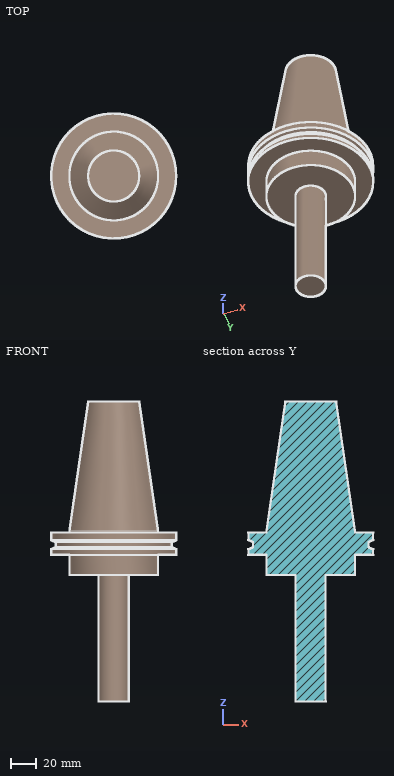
import cadquery as cq

total_length = 236.1
shank_diameter = 24.0

gauge_diameter = 69.85
taper_ratio = 7 / 24
taper_length = 101.6
taper_tip_diameter = gauge_diameter - taper_length * taper_ratio

gauge_to_hub_face = 35.0
shank_length = total_length - taper_length - gauge_to_hub_face

flange_diameter = 98.43
flange_top = -1.5
flange_bottom = -19.05

groove_floor_diameter = 91.29
groove_center = -11.1
groove_floor_width = 4.0
groove_mouth_width = 7.0


def taper_cone():
    """Cone from the gauge line up to the tip."""
    return cq.Workplane("XZ").polyline([
        (0, 0),
        (gauge_diameter / 2, 0),
        (taper_tip_diameter / 2, taper_length),
        (0, taper_length),
    ]).close().revolve(360, (0, 0), (0, 1))


def cylinder(diameter, bottom, top):
    """Cylinder on the Z axis between two heights."""
    return cq.Workplane("XY").workplane(offset=bottom).circle(diameter / 2).extrude(top - bottom)


def grooved_flange():
    """Flange disc with a sloped-wall groove around its rim."""
    rim = flange_diameter / 2
    floor = groove_floor_diameter / 2
    half_mouth = groove_mouth_width / 2
    half_floor = groove_floor_width / 2
    return cq.Workplane("XZ").polyline([
        (0, flange_bottom),
        (rim, flange_bottom),
        (rim, groove_center - half_mouth),
        (floor, groove_center - half_floor),
        (floor, groove_center + half_floor),
        (rim, groove_center + half_mouth),
        (rim, flange_top),
        (0, flange_top),
    ]).close().revolve(360, (0, 0), (0, 1))


hub_bottom = -gauge_to_hub_face
hub = cylinder(gauge_diameter, hub_bottom, 0)
shank = cylinder(shank_diameter, hub_bottom - shank_length, hub_bottom)

result = taper_cone().union(hub).union(grooved_flange()).union(shank)